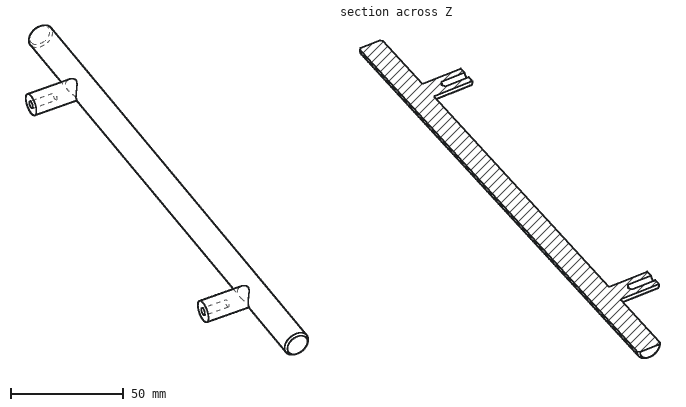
import cadquery as cq
import math

bar_length = 240.0
bar_diameter = 12.0
end_chamfer = 1.0
overall_depth = 32.0
post_diameter = 10.0
post_spacing = 160.0
screw_hole_diameter = 3.4
screw_hole_depth = 12.0
drill_point_angle = 118.0

post_reach = overall_depth - bar_diameter / 2
post_centers_x = [-post_spacing / 2, post_spacing / 2]


def make_bar():
    """Round bar with a chamfer around each end."""
    end_plane = cq.Workplane("YZ", origin=(-bar_length / 2, 0, 0))
    bar = end_plane.circle(bar_diameter / 2).extrude(bar_length)
    return bar.faces("<X or >X").chamfer(end_chamfer)


def make_post(center_x):
    """Post running from the bar axis to its mounting face."""
    return cq.Workplane("XZ", origin=(center_x, 0, 0)).circle(post_diameter / 2).extrude(post_reach)


def make_screw_hole(center_x):
    """Blind drilled hole with a conical bottom, entering from the mounting face."""
    radius = screw_hole_diameter / 2
    tip_length = radius / math.tan(math.radians(drill_point_angle / 2))
    half_profile = (
        cq.Workplane("XY", origin=(center_x, -post_reach, 0))
        .lineTo(radius, 0)
        .lineTo(radius, screw_hole_depth)
        .lineTo(0, screw_hole_depth + tip_length)
        .close()
    )
    return half_profile.revolve(360, (0, 0), (0, 1))


result = make_bar()
for post_center_x in post_centers_x:
    result = result.union(make_post(post_center_x))
    result = result.cut(make_screw_hole(post_center_x))